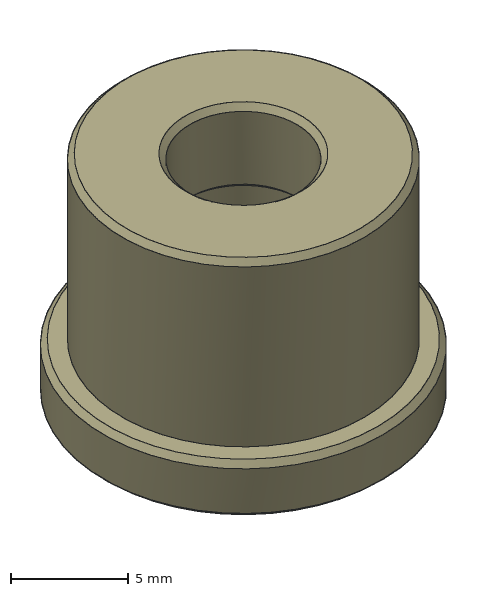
import cadquery as cq

flange_diameter = 17.3
flange_height = 3.0
body_diameter = 15.0
total_height = 13.0
bore_diameter = 6.6
land_length = 3.93
edge_chamfer = 0.3


def chamfered_cylinder(diameter, height):
    """Upright cylinder from Z = 0 with both end edges chamfered."""
    return cq.Workplane("XY").circle(diameter / 2).extrude(height).edges("%CIRCLE").chamfer(edge_chamfer)


def bore_cutter():
    """Stepped through bore: chamfered mouth, guiding land, 45 degree step and wider relief."""
    bore_radius = bore_diameter / 2
    wide_radius = bore_radius + edge_chamfer
    land_top = total_height - edge_chamfer
    land_bottom = land_top - land_length
    return (
        cq.Workplane("XZ")
        .moveTo(0, 0)
        .lineTo(wide_radius, 0)
        .lineTo(wide_radius, land_bottom - edge_chamfer)
        .lineTo(bore_radius, land_bottom)
        .lineTo(bore_radius, land_top)
        .lineTo(wide_radius, total_height)
        .lineTo(0, total_height)
        .close()
        .revolve(360, (0, 0), (0, 1))
    )


flange = chamfered_cylinder(flange_diameter, flange_height)
body = chamfered_cylinder(body_diameter, total_height)
result = flange.union(body).cut(bore_cutter())